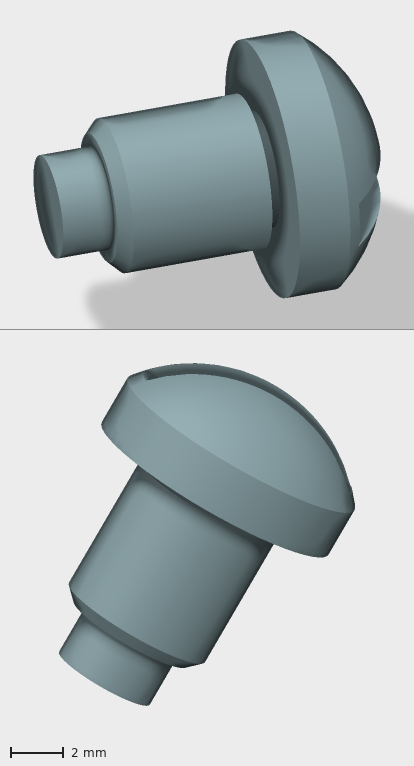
import cadquery as cq


head_diameter = 10.0
head_rim_height = 2.0
dome_height = 2.5

slot_width = 2.0
slot_depth = 2.0

neck_diameter = 4.52
neck_length = 0.5
shank_diameter = 6.0
shank_length = 6.0
shank_chamfer = 0.5
pin_diameter = 4.0
pin_length = 2.0

rim_top = head_rim_height
dome_top = rim_top + dome_height
neck_end = -neck_length
shank_end = neck_end - shank_length
pin_end = shank_end - pin_length

head_radius = head_diameter / 2
dome_radius = (head_radius**2 + dome_height**2) / (2 * dome_height)
dome_center = dome_top - dome_radius
dome_mid_x = head_radius / 2
dome_mid_y = dome_center + (dome_radius**2 - dome_mid_x**2) ** 0.5


def make_turned_body():
    """Revolve the half profile of the whole screw about the Y axis."""
    neck_radius = neck_diameter / 2
    shank_radius = shank_diameter / 2
    pin_radius = pin_diameter / 2
    profile = (
        cq.Workplane("XY")
        .moveTo(0, pin_end)
        .lineTo(pin_radius, pin_end)
        .lineTo(pin_radius, shank_end)
        .lineTo(shank_radius - shank_chamfer, shank_end)
        .lineTo(shank_radius, shank_end + shank_chamfer)
        .lineTo(shank_radius, neck_end)
        .lineTo(neck_radius, neck_end)
        .lineTo(neck_radius, 0)
        .lineTo(head_radius, 0)
        .lineTo(head_radius, rim_top)
        .threePointArc((dome_mid_x, dome_mid_y), (0, dome_top))
        .close()
    )
    return profile.revolve(360, (0, 0, 0), (0, 1, 0))


def make_slot_cutter():
    """Box that cuts the slot across the full head, down from the dome apex."""
    slot_floor = dome_top - slot_depth
    return (
        cq.Workplane("XY")
        .box(head_diameter, slot_depth, slot_width, centered=(True, False, True))
        .translate((0, slot_floor, 0))
    )


result = make_turned_body().cut(make_slot_cutter())